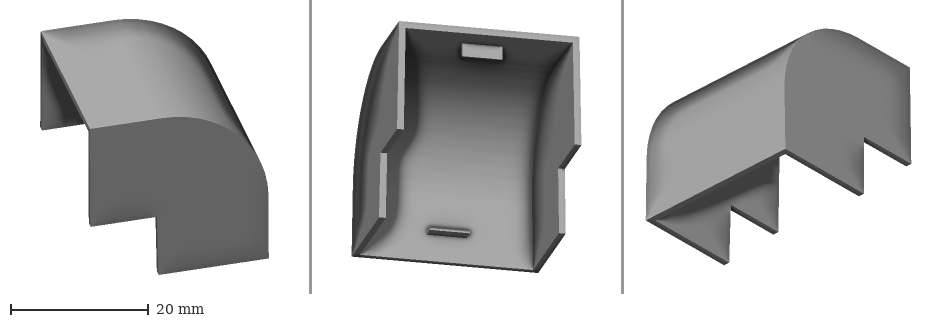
import cadquery as cq
import math

BASE_WIDTH = 27.95
REACH = 26.8
WALL = 1.0
DRAFT = 1.0

BEND_RADIUS = 16.0
CORNER_Y = 16.76
CORNER_Z = 10.0

RIB_LENGTH = 6.0
RIB_HEIGHT = 2.0
RIB_THICKNESS = 0.6
RIB_BEVEL_WIDTH = 0.34
RIB_BEVEL_HEIGHT = 0.6
RIB_INSET = 4.05

BACK = REACH / 2
FRONT = -BACK
LEAN = math.tan(math.radians(DRAFT))


def elbow(offset):
    """Solid elbow outline, its top and back moved inward by offset, wider than the part."""
    top = REACH - offset
    back = BACK - offset
    radius = BEND_RADIUS - offset
    corner = BACK - CORNER_Y
    mid = radius * (1 - math.sqrt(0.5))
    return (
        cq.Workplane("YZ")
        .moveTo(FRONT, CORNER_Z)
        .lineTo(FRONT, top)
        .lineTo(back - radius, top)
        .threePointArc((back - mid, top - mid), (back, top - radius))
        .lineTo(back, 0)
        .lineTo(corner + CORNER_Z * LEAN, 0)
        .lineTo(corner, CORNER_Z)
        .close()
        .extrude(BASE_WIDTH, both=True)
    )


def tapered_block(offset):
    """Block through the whole depth whose sides lean inward towards the top."""
    bottom_half = BASE_WIDTH / 2 - offset
    top_half = bottom_half - REACH * LEAN
    return (
        cq.Workplane("XZ")
        .polyline([(-bottom_half, 0), (bottom_half, 0), (top_half, REACH), (-top_half, REACH)])
        .close()
        .extrude(REACH, both=True)
    )


def rib(outline):
    """Rib centred across the width, from its outline in (Y, Z)."""
    return cq.Workplane("YZ").polyline(outline).close().extrude(RIB_LENGTH / 2, both=True)


def rib_outline():
    """Rib section as (distance from the open end, distance from the outer face of the wall)."""
    root = WALL / 2
    tip = WALL + RIB_HEIGHT
    return [
        (RIB_INSET, root),
        (RIB_INSET + RIB_THICKNESS, root),
        (RIB_INSET + RIB_THICKNESS, tip - RIB_BEVEL_HEIGHT),
        (RIB_INSET + RIB_THICKNESS - RIB_BEVEL_WIDTH, tip),
        (RIB_INSET, tip),
    ]


shell = elbow(0).intersect(tapered_block(0))
cavity = elbow(WALL).intersect(tapered_block(WALL))

upper_rib = rib([(FRONT + along, REACH - inward) for along, inward in rib_outline()])
lower_rib = rib([(BACK - inward, along) for along, inward in rib_outline()])

result = shell.cut(cavity).union(upper_rib).union(lower_rib)